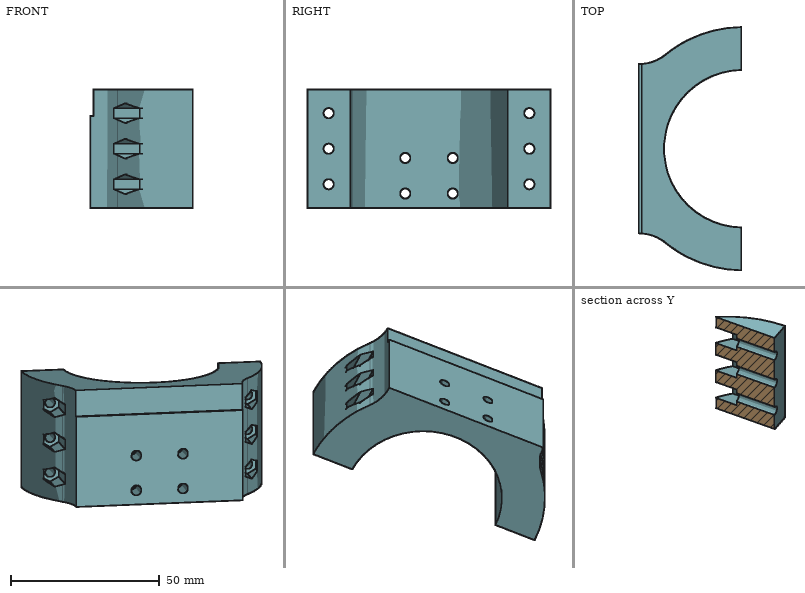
import cadquery as cq
import math

depth = 34.5
height = 40.0
split_gap = 0.5
outer_radius = 41.0
bore_radius = 26.5
plate_half_width = 28.5
blend_radius = 14.0
split_x = -split_gap
back_x = split_x - depth

step_depth = 1.1
step_height = 8.9

hole_diameter = 3.4
row_pitch = 12.0
clamp_hole_y = 33.8
nut_corner_diameter = 6.65
nut_floor_x = back_x + 19.85
plate_hole_spacing = 16.0
plate_hole_bottom_z = 4.9


def make_body():
    """Half ring whose outer wall flows into a flat back plate through concave arcs."""
    blend_center_y = plate_half_width + blend_radius
    center_distance = outer_radius + blend_radius
    blend_center_x = -math.sqrt(center_distance**2 - blend_center_y**2)
    blend_angle = math.atan2(blend_center_y, blend_center_x)
    split_angle = math.acos(split_x / outer_radius)
    bore_edge_y = math.sqrt(bore_radius**2 - split_x**2)

    def on_outer(angle):
        return outer_radius * math.cos(angle), outer_radius * math.sin(angle)

    def on_blend(angle):
        return (
            blend_center_x + blend_radius * math.cos(angle),
            blend_center_y + blend_radius * math.sin(angle),
        )

    def mirrored(point):
        return point[0], -point[1]

    blend_start_angle = -math.pi / 2
    blend_end_angle = blend_angle - math.pi
    blend_start = on_blend(blend_start_angle)
    blend_middle = on_blend((blend_start_angle + blend_end_angle) / 2)
    blend_end = on_outer(blend_angle)
    wall_middle = on_outer((blend_angle + split_angle) / 2)
    wall_end = on_outer(split_angle)

    return (
        cq.Workplane("XY")
        .moveTo(back_x, -plate_half_width)
        .lineTo(back_x, plate_half_width)
        .lineTo(*blend_start)
        .threePointArc(blend_middle, blend_end)
        .threePointArc(wall_middle, wall_end)
        .lineTo(split_x, bore_edge_y)
        .threePointArc((-bore_radius, 0), (split_x, -bore_edge_y))
        .lineTo(*mirrored(wall_end))
        .threePointArc(mirrored(wall_middle), mirrored(blend_end))
        .threePointArc(mirrored(blend_middle), mirrored(blend_start))
        .close()
        .extrude(height)
    )


def make_step():
    """Block removed along the top of the back plate."""
    return cq.Workplane("XY").box(
        step_depth, 2 * outer_radius, step_height, centered=(False, True, False)
    ).translate((back_x, 0, height - step_height))


def make_holes(points):
    """Round cutters through the full depth at the given (y, z) points."""
    return (
        cq.Workplane("YZ", origin=(back_x, 0, 0))
        .pushPoints(points)
        .circle(hole_diameter / 2)
        .extrude(depth)
    )


def make_nut_pockets(points):
    """Hexagonal cutters, corners up and down, from the back to the nut floor."""
    hexagon = [
        (
            nut_corner_diameter / 2 * math.sin(math.radians(60 * corner)),
            nut_corner_diameter / 2 * math.cos(math.radians(60 * corner)),
        )
        for corner in range(6)
    ]
    pockets = cq.Workplane("YZ")
    for y, z in points:
        outline = [(y + dy, z + dz) for dy, dz in hexagon]
        pocket = cq.Workplane("YZ", origin=(back_x, 0, 0)).polyline(outline).close()
        pockets = pockets.add(pocket.extrude(nut_floor_x - back_x))
    return pockets.combine()


clamp_points = [
    (side * clamp_hole_y, height / 2 + row * row_pitch)
    for side in (-1, 1)
    for row in (-1, 0, 1)
]
plate_points = [
    (side * plate_hole_spacing / 2, plate_hole_bottom_z + row * row_pitch)
    for side in (-1, 1)
    for row in (0, 1)
]

result = (
    make_body()
    .cut(make_step())
    .cut(make_nut_pockets(clamp_points))
    .cut(make_holes(clamp_points + plate_points))
)